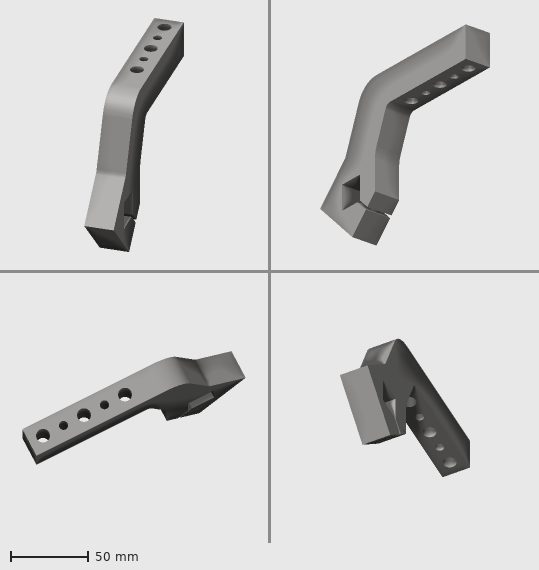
import cadquery as cq
import math

length = 152.5
height = 107.5
width = 20.0
arm_thickness = 25.0
leg_angle = 22.0
outer_bend_corner = 106.9
inner_bend_corner = 82.7
outer_bend_radius = 20.0
inner_bend_radius = 5.0
knee_radius = 20.0
shoulder_radius = 7.6

head_tip_depth = 73.8
jaw_face = 95.0
window_size = 18.9
window_start = 110.6
window_top_depth = 65.5
slit_width = 2.0
pin_diameter = 6.0
pin_embed = 1.5

first_hole = 9.9
hole_pitch = 15.0
hole_diameters = (9.0, 6.0, 9.0, 6.0, 9.0)

lean = math.tan(math.radians(leg_angle))
diagonal = math.sqrt(2)


def side_point(distance, depth):
    """Point in the YZ plane, from distance along the arm and depth below its top."""
    return (-distance, -depth)


def round_edge(body, corner, radius):
    """Fillet the widthwise edge that passes through a profile corner."""
    y, z = corner
    edge = cq.selectors.NearestToPointSelector((0, y, z))
    return body.edges("|X").edges(edge).fillet(radius)


def make_body():
    """Extruded arm, leg and clamp head with rounded bends."""
    outer_bend = side_point(outer_bend_corner, 0)
    inner_bend = side_point(inner_bend_corner, arm_thickness)
    knee_depth = arm_thickness + (jaw_face - inner_bend_corner) / lean
    knee = side_point(jaw_face, knee_depth)

    head_offset = length - head_tip_depth
    shoulder_depth = (head_offset - outer_bend_corner) / (lean - 1)
    shoulder = side_point(shoulder_depth + head_offset, shoulder_depth)

    head_tip = side_point(length, head_tip_depth)
    bottom_distance = length - (height - head_tip_depth)
    bottom = side_point(bottom_distance, height)
    jaw_end = side_point(jaw_face, height - (bottom_distance - jaw_face))

    outline = [
        side_point(0, 0), outer_bend, shoulder, head_tip, bottom,
        jaw_end, knee, inner_bend, side_point(0, arm_thickness),
    ]
    body = cq.Workplane("YZ").polyline(outline).close().extrude(width / 2, both=True)
    body = round_edge(body, outer_bend, outer_bend_radius)
    body = round_edge(body, inner_bend, inner_bend_radius)
    body = round_edge(body, knee, knee_radius)
    return round_edge(body, shoulder, shoulder_radius)


def cut_arm_holes(body):
    """Drill the alternating large and small holes through the arm."""
    for index, diameter in enumerate(hole_diameters):
        y = -(first_hole + index * hole_pitch)
        hole = cq.Workplane("XY").center(0, y).circle(diameter / 2).extrude(-arm_thickness)
        body = body.cut(hole)
    return body


def cut_clamp(body):
    """Cut the square window and the diagonal slit, then bridge the slit with a pin."""
    window_center = side_point(window_start + window_size / 2, window_top_depth + window_size / 2)
    window = (
        cq.Workplane("YZ").center(*window_center)
        .rect(window_size, window_size).extrude(width / 2, both=True)
    )

    corner_depth = window_top_depth + window_size
    jaw_offset = height - (length - (height - head_tip_depth))
    slit_length = (jaw_offset + window_start - corner_depth) / diagonal

    corner_y, corner_z = side_point(window_start, corner_depth)
    slit_plane = cq.Plane(origin=(0, corner_y, corner_z), xDir=(0, 1, -1), normal=(1, 0, 0))
    slit = (
        cq.Workplane(slit_plane).center(slit_length / 2, -slit_width / 2)
        .rect(2 * slit_length, slit_width).extrude(width / 2, both=True)
    )

    pin_length = slit_width + 2 * pin_embed
    pin = (
        cq.Workplane(slit_plane).center(slit_length / 2, pin_embed)
        .transformed(rotate=(90, 0, 0)).circle(pin_diameter / 2).extrude(pin_length)
    )
    return body.cut(window).cut(slit).union(pin)


result = cut_clamp(cut_arm_holes(make_body()))